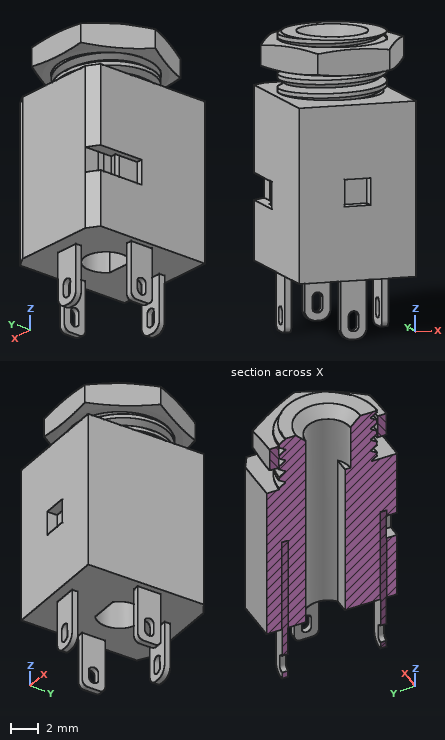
import cadquery as cq
import math

TOTAL_HEIGHT = 22.0
LUG_LENGTH = 4.5
THREAD_LENGTH = 4.5
SHOULDER_Z = TOTAL_HEIGHT - THREAD_LENGTH

HOUSING_WIDTH = 9.0
HOUSING_DEPTH = 10.6
BACK_Y = 5.0
FRONT_Y = BACK_Y - HOUSING_DEPTH
CORNER_CUT_X = 1.01
CORNER_CUT_Y = 0.62

THREAD_DIAMETER = 7.96
THREAD_PITCH = 1.0
THREAD_DEPTH = 0.5
THREAD_FLANK_ANGLE = 34.0
GROOVE_PHASE_Z = 17.7
BORE_DIAMETER = 3.6
BORE_CHAMFER = 0.81
BORE_FLAT_Y = -1.36

NUT_SIDES = 6
NUT_CORNERS = 11.0
NUT_HEIGHT = 2.0
NUT_TOP_Z = 21.47
NUT_BORE_DIAMETER = 8.0
NUT_FACE_DIAMETER = 9.25
NUT_CHAMFER_ANGLE = 15.0

TERMINAL_WIDTH = 2.0
TERMINAL_THICKNESS = 0.5
FRONT_OFFSET = 4.75
SIDE_OFFSET = 3.98
BACK_OFFSET = 3.75
ROUND_TIP_RADIUS = 0.84
SIDE_TIP_RADIUS = 0.5
EYE_WIDTH = 0.77
EYE_LENGTH = 1.5
EYE_BASE_Z = 0.6
LEFT_EYE_WIDTH = 0.81
LEFT_EYE_LENGTH = 1.35
LEFT_EYE_BASE_Z = 0.53

WINDOW_SIZE = 2.0
FRONT_WINDOW_BASE_Z = 10.0
FRONT_WINDOW_TOP_Z = FRONT_WINDOW_BASE_Z + WINDOW_SIZE
SIDE_WINDOW_BASE_Z = 9.0
SIDE_WINDOW_TOP_Z = SIDE_WINDOW_BASE_Z + WINDOW_SIZE
SIDE_WINDOW_FRONT_Y = 0.45
SIDE_WINDOW_DEPTH = 1.0
SIDE_WINDOW_FLOOR_X = -HOUSING_WIDTH / 2 + SIDE_WINDOW_DEPTH

PLATE_MARGIN = 0.5
PLATE_BASE_Z = SIDE_WINDOW_BASE_Z - PLATE_MARGIN
TERMINAL_TOP_Z = FRONT_WINDOW_TOP_Z + PLATE_MARGIN
LEFT_PLATE_WIDTH = 4.3
BACK_PLATE_WIDTH = -2 * SIDE_WINDOW_FLOOR_X
LEFT_PLATE_CLEARANCE = 0.35
LEFT_POCKET_DEPTH = 1.01


def box(x_min, x_max, y_min, y_max, z_min, z_max):
    """Axis-aligned block between the given limits."""
    return cq.Workplane("XY").box(
        x_max - x_min, y_max - y_min, z_max - z_min, centered=False
    ).translate((x_min, y_min, z_min))


def terminal_blank(plate_width):
    """Flat terminal with its outer face on the XZ plane, without tip rounding or eye."""
    strip = box(-TERMINAL_WIDTH / 2, TERMINAL_WIDTH / 2, 0, TERMINAL_THICKNESS, 0, TERMINAL_TOP_Z)
    plate = box(-plate_width / 2, plate_width / 2, 0, TERMINAL_THICKNESS, PLATE_BASE_Z, TERMINAL_TOP_Z)
    return strip.union(plate)


def terminal(offset, angle, tip_radius, eye_width, eye_length, eye_base, plate_width=TERMINAL_WIDTH):
    """Terminal moved out from the axis by offset and turned about Z from the front position."""
    eye = (
        cq.Workplane("XZ")
        .center(0, eye_base + eye_length / 2)
        .slot2D(eye_length, eye_width, 90)
        .extrude(-TERMINAL_THICKNESS)
    )
    body = terminal_blank(plate_width).edges("|Y and <Z").fillet(tip_radius).cut(eye)
    return body.translate((0, -offset, 0)).rotate((0, 0, 0), (0, 0, 1), angle)


def thread_groove():
    """Right-handed helical V groove, running past both ends of the bushing."""
    crest_radius = THREAD_DIAMETER / 2
    overshoot = 0.07
    root_radius = crest_radius - THREAD_DEPTH
    outer_radius = crest_radius + overshoot
    half_width = (THREAD_DEPTH + overshoot) * math.tan(math.radians(THREAD_FLANK_ANGLE))
    start_z = GROOVE_PHASE_Z - THREAD_PITCH
    groove_height = THREAD_LENGTH + 2 * THREAD_PITCH
    helix = cq.Wire.makeHelix(THREAD_PITCH, groove_height, root_radius)
    groove = (
        cq.Workplane("XZ")
        .polyline([(root_radius, 0), (outer_radius, half_width), (outer_radius, -half_width)])
        .close()
        .sweep(cq.Workplane(helix), isFrenet=True)
    )
    return groove.translate((0, 0, start_z))


def bushing():
    """Externally threaded cylinder, trimmed from a longer grooved rod so the thread runs out at both ends."""
    radius = THREAD_DIAMETER / 2
    excess = 3 * THREAD_PITCH
    rod = (
        cq.Workplane("XY")
        .workplane(offset=SHOULDER_Z - excess)
        .circle(radius)
        .extrude(THREAD_LENGTH + 2 * excess)
        .cut(thread_groove())
    )
    return rod.intersect(box(-radius, radius, -radius, radius, SHOULDER_Z, TOTAL_HEIGHT))


def plug_bore():
    """Countersunk round bore that becomes D-shaped below the shoulder."""
    radius = BORE_DIAMETER / 2
    bore = cq.Workplane("XY").circle(radius).extrude(TOTAL_HEIGHT)
    filled = box(-radius, radius, -radius, BORE_FLAT_Y, 0, SHOULDER_Z)
    countersink_base = cq.Vector(0, 0, TOTAL_HEIGHT - BORE_CHAMFER)
    countersink = cq.Workplane("XY").add(
        cq.Solid.makeCone(radius, radius + BORE_CHAMFER, BORE_CHAMFER, countersink_base)
    )
    return bore.cut(filled).union(countersink)


def windows():
    """Front window and the side window that opens through the rear left corner."""
    half = WINDOW_SIZE / 2
    front = box(-half, half, FRONT_Y, -FRONT_OFFSET, FRONT_WINDOW_BASE_Z, FRONT_WINDOW_TOP_Z)
    side = box(
        -HOUSING_WIDTH / 2,
        SIDE_WINDOW_FLOOR_X,
        SIDE_WINDOW_FRONT_Y,
        BACK_Y,
        SIDE_WINDOW_BASE_Z,
        SIDE_WINDOW_TOP_Z,
    )
    return front.union(side)


def left_pocket():
    """Clearance pocket around the plate of the left terminal."""
    half = LEFT_PLATE_WIDTH / 2 + LEFT_PLATE_CLEARANCE
    return box(-SIDE_OFFSET, -SIDE_OFFSET + LEFT_POCKET_DEPTH, -half, half, PLATE_BASE_Z, TERMINAL_TOP_Z)


def make_housing(terminals):
    """Block with threaded bushing, bore, windows and a matching slot for each terminal."""
    half_width = HOUSING_WIDTH / 2
    block = (
        cq.Workplane("XY")
        .workplane(offset=LUG_LENGTH)
        .polyline([
            (-half_width, FRONT_Y),
            (half_width, FRONT_Y),
            (half_width, BACK_Y - CORNER_CUT_Y),
            (half_width - CORNER_CUT_X, BACK_Y),
            (-half_width + CORNER_CUT_X, BACK_Y),
            (-half_width, BACK_Y - CORNER_CUT_Y),
        ])
        .close()
        .extrude(SHOULDER_Z - LUG_LENGTH)
    )
    body = block.union(bushing()).cut(plug_bore()).cut(windows()).cut(left_pocket())
    for part in terminals:
        body = body.cut(part)
    return body


def make_nut():
    """Hexagon nut, chamfered on both faces, with a plain bore that just clears the thread crest."""
    face_radius = NUT_FACE_DIAMETER / 2
    corner_radius = NUT_CORNERS / 2
    drop = (corner_radius - face_radius) * math.tan(math.radians(NUT_CHAMFER_ANGLE))
    base_z = NUT_TOP_Z - NUT_HEIGHT
    envelope = (
        cq.Workplane("XZ")
        .polyline([
            (0, base_z),
            (face_radius, base_z),
            (corner_radius, base_z + drop),
            (corner_radius, NUT_TOP_Z - drop),
            (face_radius, NUT_TOP_Z),
            (0, NUT_TOP_Z),
        ])
        .close()
        .revolve(360, (0, 0, 0), (0, 1, 0))
    )
    hexagon = cq.Workplane("XY").workplane(offset=base_z).polygon(NUT_SIDES, NUT_CORNERS).extrude(NUT_HEIGHT)
    bore = cq.Workplane("XY").workplane(offset=base_z).circle(NUT_BORE_DIAMETER / 2).extrude(NUT_HEIGHT)
    return hexagon.intersect(envelope).cut(bore)


front_terminal = terminal(FRONT_OFFSET, 0, ROUND_TIP_RADIUS, EYE_WIDTH, EYE_LENGTH, EYE_BASE_Z)
right_terminal = terminal(SIDE_OFFSET, 90, SIDE_TIP_RADIUS, EYE_WIDTH, EYE_LENGTH, EYE_BASE_Z)
back_terminal = terminal(
    BACK_OFFSET, 180, ROUND_TIP_RADIUS, EYE_WIDTH, EYE_LENGTH, EYE_BASE_Z, BACK_PLATE_WIDTH
)
left_terminal = terminal(
    SIDE_OFFSET, -90, SIDE_TIP_RADIUS, LEFT_EYE_WIDTH, LEFT_EYE_LENGTH, LEFT_EYE_BASE_Z, LEFT_PLATE_WIDTH
)
terminals = [front_terminal, right_terminal, back_terminal, left_terminal]

housing = make_housing(terminals)
nut = make_nut()

result = cq.Compound.makeCompound([housing.val(), nut.val(), *[part.val() for part in terminals]])